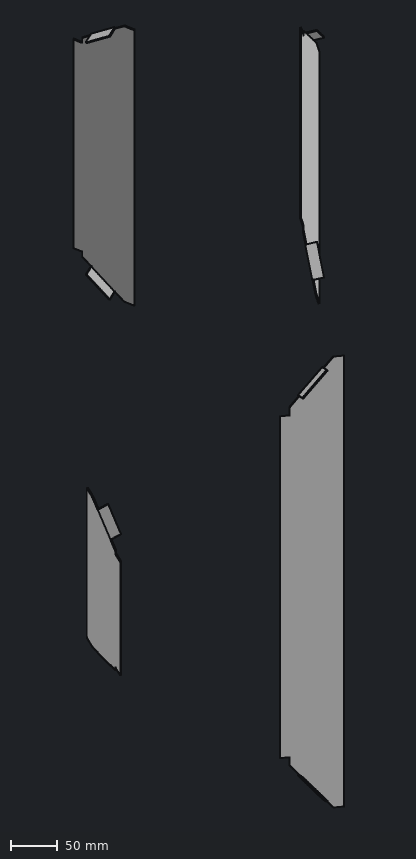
import cadquery as cq
import math

length = 498.0
width = 72.0
depth = 13.0
thickness = 1.5
step_width = 10.5
step_from_end = 60.5
diagonal_from_end = 51.5
end_width = 12.0

flap_length = 40.0

half_length = length / 2
end_corner_x = width - end_width
diagonal_start_z = half_length - diagonal_from_end


def make_plate():
    step_z = half_length - step_from_end
    upper_outline = [
        (0, step_z),
        (step_width, step_z),
        (step_width, diagonal_start_z),
        (end_corner_x, half_length),
        (width, half_length),
    ]
    lower_outline = [(x, -z) for x, z in reversed(upper_outline)]
    return (
        cq.Workplane("XZ")
        .polyline(upper_outline + lower_outline)
        .close()
        .extrude(thickness)
    )


def make_upper_flap():
    run = end_corner_x - step_width
    rise = diagonal_from_end
    edge_length = math.hypot(run, rise)
    along = cq.Vector(run / edge_length, 0, rise / edge_length)
    outward = cq.Vector(-along.z, 0, along.x)
    middle = cq.Vector(step_width + run / 2, 0, diagonal_start_z + rise / 2)

    section_plane = cq.Plane(
        origin=middle - along * (flap_length / 2),
        xDir=outward,
        normal=outward.cross(cq.Vector(0, -1, 0)),
    )
    section = (
        cq.Workplane(section_plane)
        .moveTo(-thickness, 0)
        .lineTo(thickness, 0)
        .lineTo(thickness, depth)
        .lineTo(0, depth)
        .lineTo(0, thickness)
        .lineTo(-thickness, thickness)
        .close()
    )
    return section.extrude(flap_length)


upper_flap = make_upper_flap()
lower_flap = upper_flap.mirror("XY")
result = make_plate().union(upper_flap).union(lower_flap)